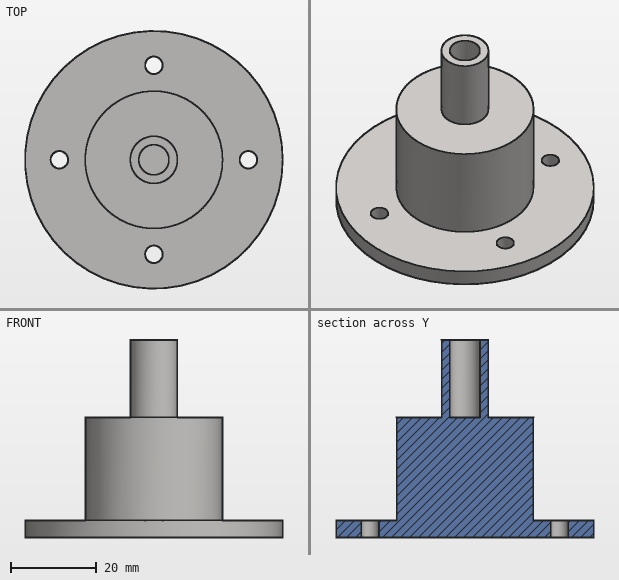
import cadquery as cq

flange_diameter = 60.0
flange_thickness = 4.0

body_diameter = 32.0
body_height = 24.0

tube_diameter = 11.0
tube_height = 18.0
bore_diameter = 7.0
bore_depth = tube_height

hole_count = 4
hole_diameter = 4.0
hole_circle_diameter = 44.0

flange = cq.Workplane("XY").circle(flange_diameter / 2).extrude(flange_thickness)
body = flange.faces(">Z").workplane().circle(body_diameter / 2).extrude(body_height)
tube = body.faces(">Z").workplane().circle(tube_diameter / 2).extrude(tube_height)

bored = tube.faces(">Z").workplane().hole(bore_diameter, bore_depth)

mounting_holes = (
    cq.Workplane("XY")
    .polarArray(hole_circle_diameter / 2, 0, 360, hole_count)
    .circle(hole_diameter / 2)
    .extrude(flange_thickness)
)

result = bored.cut(mounting_holes)